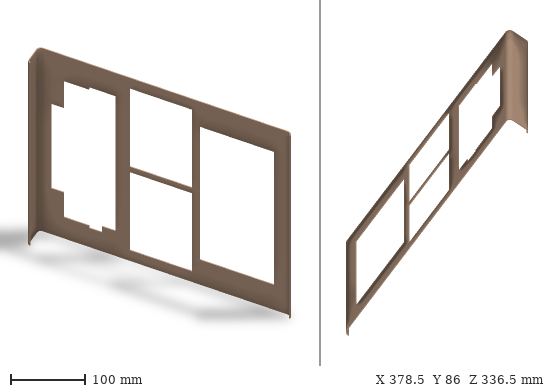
import cadquery as cq
import math

width = 378.5
depth = 86.0
height = 336.5

sheet = 1.5
tilt = 8.0
bend_radius = 7.0
lip_radius = 5.0

cos_tilt = math.cos(math.radians(tilt))
sin_tilt = math.sin(math.radians(tilt))
panel_length = (width - bend_radius * (1 + cos_tilt)) / cos_tilt
lip_center_x = lip_radius - bend_radius
flange_length = (
    depth - bend_radius - lip_radius - (panel_length - lip_center_x) * sin_tilt
) / cos_tilt

middle_left = 130.5
middle_right = 224.5
middle_margin = 19.3
middle_bar = 10.0
right_left = 235.5
right_right = 347.7
right_margin = 45.8

stepped_right = 109.5
stepped_outline = [
    (12.0, 84.5),
    (31.5, 84.5),
    (31.5, 39.0),
    (69.2, 39.0),
    (69.2, 34.8),
    (89.0, 34.8),
    (89.0, right_margin),
    (stepped_right, right_margin),
    (stepped_right, 294.0),
    (69.2, 294.0),
    (69.2, 289.5),
    (31.5, 289.5),
    (31.5, 240.0),
    (12.0, 240.0),
]


def on_circle(center, radius, angle):
    """Point on a circle at an angle in degrees."""
    turn = math.radians(angle)
    return (center[0] + radius * math.cos(turn), center[1] + radius * math.sin(turn))


def bent_sheet():
    """Constant-thickness bent profile, with the panel lying along X."""
    right_center = (panel_length, 0)
    left_center = (0, 0)
    lip_center = (lip_center_x, -flange_length)
    bends = [
        (right_center, bend_radius, 0),
        (left_center, bend_radius, 90),
        (lip_center, lip_radius, 180),
    ]
    profile = cq.Workplane("XY").moveTo(*on_circle(*bends[0]))
    for center, radius, start in bends:
        if start > 0:
            profile = profile.lineTo(*on_circle(center, radius, start))
        profile = profile.threePointArc(
            on_circle(center, radius, start + 45), on_circle(center, radius, start + 90)
        )
    for center, radius, start in reversed(bends):
        inner = radius - sheet
        profile = profile.lineTo(*on_circle(center, inner, start + 90))
        profile = profile.threePointArc(
            on_circle(center, inner, start + 45), on_circle(center, inner, start)
        )
    return profile.close().extrude(height)


def window(outline):
    """Cutter through the panel, square to its face."""
    return cq.Workplane("XZ").polyline(outline).close().extrude(-2 * bend_radius)


def rectangle(left, right, bottom, top):
    """Corner points of a rectangular window."""
    return [(left, bottom), (right, bottom), (right, top), (left, top)]


bar_bottom = (height - middle_bar) / 2
bar_top = (height + middle_bar) / 2
windows = [
    stepped_outline,
    rectangle(middle_left, middle_right, middle_margin, bar_bottom),
    rectangle(middle_left, middle_right, bar_top, height - middle_margin),
    rectangle(right_left, right_right, right_margin, height - right_margin),
]

panel = bent_sheet()
for outline in windows:
    panel = panel.cut(window(outline))

result = panel.rotate((0, 0, 0), (0, 0, 1), tilt)